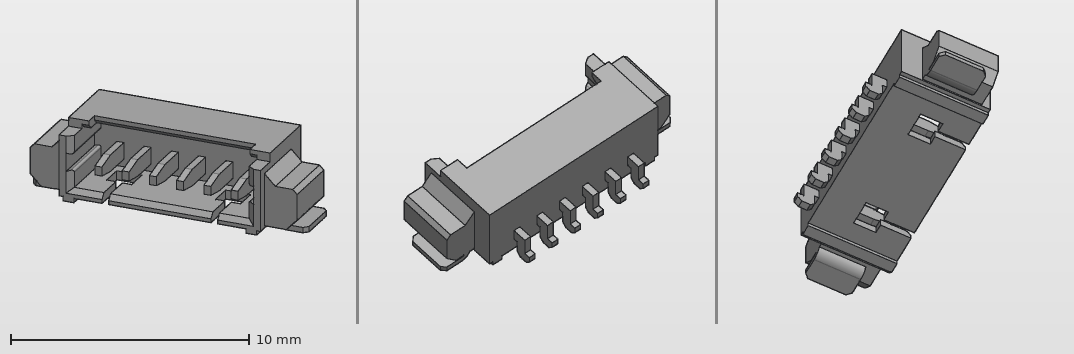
import cadquery as cq
import math


pin_count = 6
pitch = 1.25
pin_width = 0.32
pin_tip_y = 0.7
pin_taper_y = 1.6
pin_bottom, pin_top = 0.97, 1.73
tip_bottom, tip_top = 1.12, 1.53

tail_bottom, tail_top = 0.8, 1.36
tail_inner_y, tail_outer_y = 4.4, 4.9
tail_end_y = 5.2
tail_foot_height = 0.5
tail_chamfer = 0.2

end_margin = 1.5
pin_row_half = (pin_count - 1) * pitch / 2
half_length = pin_row_half + end_margin
body_depth = 4.2
body_bottom, body_top = 0.2, 3.4
arm_top = 3.0
arm_depth = 1.0
roof_front_y = 1.6
roof_notch_half = 3.69
standoff_width = 0.5
standoff_inset = 0.18

cavity_depth = 3.0
cavity_floor, cavity_roof = 0.62, arm_top
cavity_half = 4.01
mouth_half = 4.31
lead_in_depth = 0.2
floor_lead_in = 0.24
roof_lead_in = 0.2
lower_rib_top, upper_rib_bottom = 1.42, 2.16
rib_round = 0.1
rib_crown_slope = 15.0

slot_x = pin_row_half - pitch / 2
slot_width = 0.3
window_width = 1.15
window_front_y, window_back_y = 1.45, 2.5

wing_front_y, wing_back_y = 0.4, 3.2
wing_bottom, wing_top = 0.3, 2.2
wing_reach = 1.5
wing_lower_chamfer = 0.5
wing_upper_chamfer = 0.2
wing_gusset = 0.5

nail_tip_x = 6.325
nail_front_y, nail_back_y = 1.0, 3.2
nail_thickness = 0.25
nail_bend_x = 5.35
nail_bend_radius = 0.55
nail_chamfer = 0.2


def box(x_range, y_range, z_range):
    """Axis-aligned box from its lower and upper limits."""
    (x0, x1), (y0, y1), (z0, z1) = x_range, y_range, z_range
    return cq.Workplane("XY").box(x1 - x0, y1 - y0, z1 - z0, centered=False).translate((x0, y0, z0))


def along_x(points, half_width, center_x=0.0):
    """Prism along X from a (y, z) outline."""
    prism = cq.Workplane("YZ").polyline(points).close().extrude(half_width, both=True)
    return prism.translate((center_x, 0, 0))


def both_ends(shape):
    """The shape together with its mirror image in X."""
    return shape.union(shape.mirror("YZ"))


def make_shell():
    """Housing block with lowered front arms, roof notch and standoff rails."""
    shell = box((-half_length, half_length), (0, body_depth), (body_bottom, body_top))
    shell = shell.cut(box((-half_length, half_length), (0, arm_depth), (arm_top, body_top)))
    notch_x = (-roof_notch_half, roof_notch_half)
    shell = shell.cut(box(notch_x, (0, roof_front_y), (arm_top, body_top)))
    rail_outer = half_length - standoff_inset
    rail = box((rail_outer - standoff_width, rail_outer), (0, body_depth), (0, body_bottom))
    return shell.union(both_ends(rail))


def roof_chamfer(front_y, half_width):
    """Wedge that bevels the underside of the roof behind its front edge."""
    points = [
        (front_y, cavity_roof),
        (front_y, cavity_roof + roof_lead_in),
        (front_y + lead_in_depth, cavity_roof),
    ]
    return along_x(points, half_width)


def make_cavity():
    """Mating cavity with bevelled floor and roof edges."""
    cavity = box((-mouth_half, mouth_half), (0, cavity_depth), (cavity_floor, cavity_roof))
    floor_points = [(0, cavity_floor), (0, cavity_floor - floor_lead_in), (lead_in_depth, cavity_floor)]
    cavity = cavity.union(along_x(floor_points, mouth_half))
    cavity = cavity.union(roof_chamfer(arm_depth, cavity_half))
    return cavity.union(roof_chamfer(roof_front_y, roof_notch_half))


def make_rib(base_z, crown_z):
    """Pair of end-wall ribs from base_z to a crown that is rounded inside and slopes off to the wall."""
    toward_base = math.copysign(1.0, base_z - crown_z)
    slope = math.radians(rib_crown_slope)
    round_x = cavity_half + rib_round
    round_z = crown_z + toward_base * rib_round
    shoulder_x = round_x + rib_round * math.sin(slope)
    shoulder_z = round_z - toward_base * rib_round * math.cos(slope)
    wall_z = shoulder_z + toward_base * (mouth_half - shoulder_x) * math.tan(slope)
    rib = (
        cq.Workplane("XZ")
        .moveTo(mouth_half, base_z)
        .lineTo(cavity_half, base_z)
        .lineTo(cavity_half, round_z)
        .threePointArc((round_x, crown_z), (shoulder_x, shoulder_z))
        .lineTo(mouth_half, wall_z)
        .close()
        .extrude(-cavity_depth)
    )
    bevel = (
        cq.Workplane("XY")
        .moveTo(mouth_half, 0)
        .lineTo(cavity_half, 0)
        .lineTo(cavity_half, lead_in_depth)
        .close()
        .extrude(body_top)
    )
    return both_ends(rib.cut(bevel))


def make_floor_slot(center_x):
    """Slot from the mouth into a wider window, both through the floor."""
    heights = (body_bottom, cavity_floor)
    slot_span = (center_x - slot_width / 2, center_x + slot_width / 2)
    window_span = (center_x - window_width / 2, center_x + window_width / 2)
    slot = box(slot_span, (0, window_front_y), heights)
    return slot.union(box(window_span, (window_front_y, window_back_y), heights))


def make_wing():
    """Block on the end of the housing, with a gusset above and bevelled outer edges."""
    tip_x = half_length + wing_reach
    return (
        cq.Workplane("XZ", origin=(0, wing_front_y, 0))
        .moveTo(half_length, wing_bottom)
        .lineTo(tip_x - wing_lower_chamfer, wing_bottom)
        .lineTo(tip_x, wing_bottom + wing_lower_chamfer)
        .lineTo(tip_x, wing_top - wing_upper_chamfer)
        .lineTo(tip_x - wing_upper_chamfer, wing_top)
        .lineTo(half_length + wing_gusset, wing_top)
        .lineTo(half_length, wing_top + wing_gusset)
        .close()
        .extrude(wing_front_y - wing_back_y)
    )


def make_nail():
    """Flat solder strip that curls up into the underside of the wing."""
    inner_radius = nail_bend_radius - nail_thickness
    bend_end_x = nail_bend_x - nail_bend_radius
    nail = (
        cq.Workplane("XZ", origin=(0, nail_front_y, 0))
        .moveTo(nail_tip_x, 0)
        .lineTo(nail_bend_x, 0)
        .radiusArc((bend_end_x, nail_bend_radius), nail_bend_radius)
        .lineTo(bend_end_x + nail_thickness, nail_bend_radius)
        .radiusArc((nail_bend_x, nail_thickness), -inner_radius)
        .lineTo(nail_tip_x, nail_thickness)
        .close()
        .extrude(nail_front_y - nail_back_y)
    )
    return nail.faces(">X").edges("|Z").chamfer(nail_chamfer)


def make_pin(center_x):
    """Contact blade with a tapered tip and a solder tail stepped down to the board."""
    points = [
        (pin_tip_y, tip_bottom),
        (pin_tip_y, tip_top),
        (pin_taper_y, pin_top),
        (cavity_depth, pin_top),
        (cavity_depth, tail_top),
        (tail_outer_y, tail_top),
        (tail_outer_y, tail_foot_height),
        (tail_end_y, tail_foot_height),
        (tail_end_y, tail_chamfer),
        (tail_end_y - tail_chamfer, 0),
        (tail_inner_y + tail_chamfer, 0),
        (tail_inner_y, tail_chamfer),
        (tail_inner_y, tail_bottom),
        (cavity_depth, tail_bottom),
        (cavity_depth, pin_bottom),
        (pin_taper_y, pin_bottom),
    ]
    return along_x(points, pin_width / 2, center_x)


result = make_shell().cut(make_cavity())
result = result.union(make_rib(cavity_floor - floor_lead_in, lower_rib_top))
result = result.union(make_rib(cavity_roof, upper_rib_bottom))
for slot_center in (-slot_x, slot_x):
    result = result.cut(make_floor_slot(slot_center))
result = result.union(both_ends(make_wing()))
result = result.union(both_ends(make_nail()))
for index in range(pin_count):
    result = result.union(make_pin(index * pitch - pin_row_half))